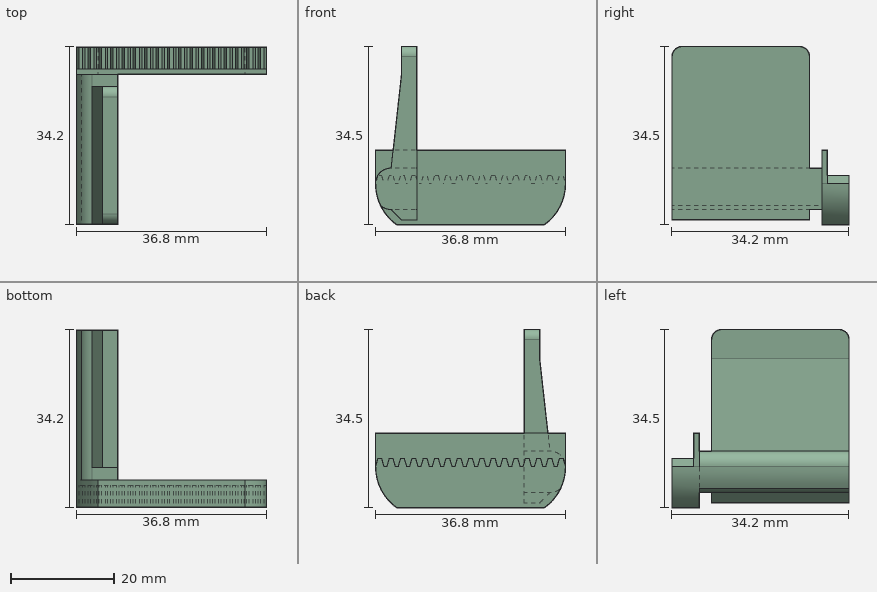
import cadquery as cq

WIDTH = 36.75
FLANGE_HEIGHT = 14.48
FLANGE_THICKNESS = 1.1
RACK_DEPTH = 4.2
ROOT_HEIGHT = 7.97
SIDE_RADIUS = 9.75

TOOTH_COUNT = 17
TOOTH_HEIGHT = 1.6
TIP_WIDTH = 0.7
FLANK_RUN = 0.48
TOOTH_BASE = TIP_WIDTH + 2 * FLANK_RUN
PITCH = (WIDTH - TOOTH_BASE) / (TOOTH_COUNT - 1)

RAIL_LENGTH = 28.95
RAIL_RADIUS = 3.0
RAIL_BACK = 8.0
RAIL_TOP = ROOT_HEIGHT + RAIL_RADIUS
RAIL_BOTTOM = 2.98

ARM_LENGTH = 26.6
ARM_TOP = 34.5
ARM_BOTTOM = 1.0
ARM_THICKNESS = 3.0
ARM_FRONT = RAIL_BACK - ARM_THICKNESS
TAPER_TOP = 28.9
ARM_CORNER_RADIUS = 2.0

FLANGE_END = RAIL_LENGTH + FLANGE_THICKNESS


def extrude_along_y(outline, start, length):
    """Extrude a closed XZ outline from y = start toward +Y."""
    return outline.extrude(-length).translate((0, start, 0))


def plate(top, start, length):
    """Plate with straight upper sides and lower sides rounded into a flat bottom."""
    def side_inset(z):
        return SIDE_RADIUS - (SIDE_RADIUS**2 - (ROOT_HEIGHT - z) ** 2) ** 0.5

    foot = side_inset(0)
    mid_height = ROOT_HEIGHT / 2
    mid = side_inset(mid_height)
    outline = (
        cq.Workplane("XZ")
        .moveTo(0, top)
        .lineTo(0, ROOT_HEIGHT)
        .threePointArc((mid, mid_height), (foot, 0))
        .lineTo(WIDTH - foot, 0)
        .threePointArc((WIDTH - mid, mid_height), (WIDTH, ROOT_HEIGHT))
        .lineTo(WIDTH, top)
        .close()
    )
    return extrude_along_y(outline, start, length)


def rack():
    """Rack body with its row of teeth as one continuous toothed prism."""
    body = plate(FLANGE_HEIGHT, FLANGE_END, RACK_DEPTH)
    tip = ROOT_HEIGHT + TOOTH_HEIGHT
    profile = [(0, 0)]
    for index in range(TOOTH_COUNT):
        left = index * PITCH
        right = left + TOOTH_BASE
        profile += [
            (left, ROOT_HEIGHT),
            (left + FLANK_RUN, tip),
            (right - FLANK_RUN, tip),
            (right, ROOT_HEIGHT),
        ]
    profile.append((WIDTH, 0))
    toothed = extrude_along_y(cq.Workplane("XZ").polyline(profile).close(), FLANGE_END, RACK_DEPTH)
    return body.intersect(toothed)


def rail():
    """Round-sided rail, trimmed to stay inside the plate outline."""
    height = RAIL_TOP - RAIL_BOTTOM
    bar = (
        cq.Workplane("XY")
        .box(RAIL_BACK, RAIL_LENGTH, height, centered=False)
        .translate((0, 0, RAIL_BOTTOM))
        .edges("|Y and <X")
        .fillet(RAIL_RADIUS)
    )
    return bar.intersect(plate(FLANGE_HEIGHT, 0, RAIL_LENGTH))


def arm():
    """Tapered arm with a sloped foot and rounded top corners."""
    outline = cq.Workplane("XZ").polyline([
        (RAIL_BACK, ARM_BOTTOM),
        (RAIL_BACK, ARM_TOP),
        (ARM_FRONT, ARM_TOP),
        (ARM_FRONT, TAPER_TOP),
        (RAIL_RADIUS, RAIL_TOP),
        (RAIL_RADIUS, RAIL_BOTTOM),
        (ARM_FRONT, ARM_BOTTOM),
    ]).close()
    blade = extrude_along_y(outline, 0, ARM_LENGTH)
    return blade.faces(">Z").edges("|X").fillet(ARM_CORNER_RADIUS)


flange = plate(FLANGE_HEIGHT, RAIL_LENGTH, FLANGE_THICKNESS)
result = flange.union(rack()).union(rail()).union(arm())